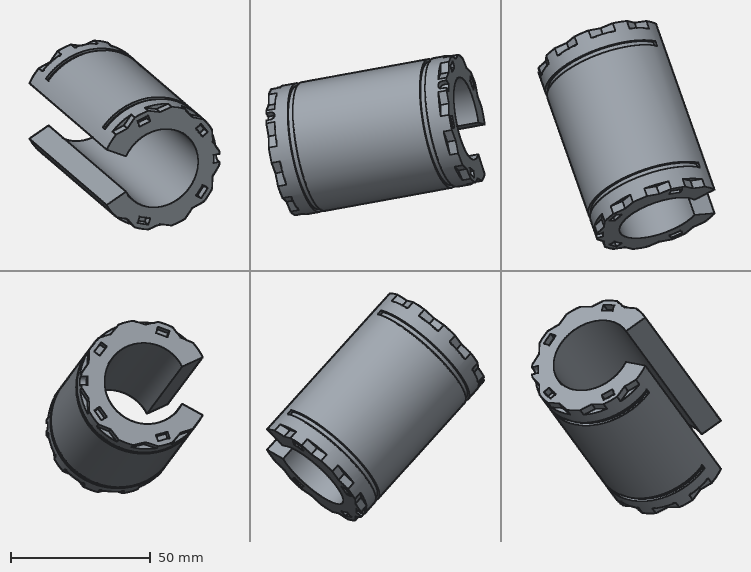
import cadquery as cq
import math

length = 68.0
outer_radius = 47.0 / 2
bore_radius = 30.0 / 2
opening_half_angle = 27.2

groove_width = 2.0
groove_depth = 0.95
groove_inset = 8.1
groove_end_half_angle = 40.0

end_feature_length = 3.1

notch_apex_radius = 21.75
notch_half_angle = 11.2
notch_angles = [18, 54, 90, 126, -18, -54, -90, -126]

pocket_width = 4.4
pocket_height = 2.45
pocket_radius = 20.3
pocket_angles = [36, 108, -36, -108]

recess_diameter = 3.1
recess_depth = 2.45

overshoot = 1.35


def polar(radius, angle):
    """Point in the YZ section at a given radius and angle."""
    radians = math.radians(angle)
    return radius * math.cos(radians), radius * math.sin(radians)


def section(x):
    """Workplane across the axis at x, with local axes along Y and Z."""
    return cq.Workplane("YZ", origin=(x, 0, 0))


def wedge(start_x, width, half_angle):
    """Triangular prism spreading from the axis around the -Y direction."""
    reach = 2 * outer_radius
    return (
        section(start_x)
        .polyline([(0, 0), polar(reach, 180 - half_angle), polar(reach, 180 + half_angle)])
        .close()
        .extrude(width)
    )


def ring_groove(start_x):
    ring = section(start_x).circle(outer_radius + overshoot).circle(outer_radius - groove_depth)
    return ring.extrude(groove_width).cut(wedge(start_x, groove_width, groove_end_half_angle))


def end_notch(angle):
    """V notch at the -X end; its flanks meet the outer circle at the notch half angle."""
    rim_x, rim_y = polar(outer_radius, notch_half_angle)
    flank_slope = rim_y / (rim_x - notch_apex_radius)
    outer_x = outer_radius + overshoot
    outer_y = flank_slope * (outer_x - notch_apex_radius)
    notch = (
        section(-length / 2)
        .polyline([(notch_apex_radius, 0), (outer_x, outer_y), (outer_x, -outer_y)])
        .close()
        .extrude(end_feature_length)
    )
    return notch.rotate((0, 0, 0), (1, 0, 0), angle)


def end_pocket(angle):
    pocket = (
        section(-length / 2)
        .center(pocket_radius, 0)
        .rect(pocket_height, pocket_width)
        .extrude(end_feature_length)
    )
    return pocket.rotate((0, 0, 0), (1, 0, 0), angle)


def locating_recess():
    """Round-bottomed slot open to the -X end face and to the outer surface."""
    radius = recess_diameter / 2
    end_x = -length / 2
    centre_x = end_x + end_feature_length - radius
    return (
        cq.Workplane("XZ", origin=(0, outer_radius - recess_depth, 0))
        .moveTo(end_x, -radius)
        .lineTo(centre_x, -radius)
        .threePointArc((centre_x + radius, 0), (centre_x, radius))
        .lineTo(end_x, radius)
        .close()
        .extrude(-recess_depth - overshoot)
    )


body = section(-length / 2).circle(outer_radius).circle(bore_radius).extrude(length)
body = body.cut(wedge(-length / 2, length, opening_half_angle))

end_cutters = [ring_groove(-length / 2 + groove_inset), locating_recess()]
end_cutters += [end_notch(angle) for angle in notch_angles]
end_cutters += [end_pocket(angle) for angle in pocket_angles]
for cutter in end_cutters:
    body = body.cut(cutter).cut(cutter.mirror("YZ"))

result = body